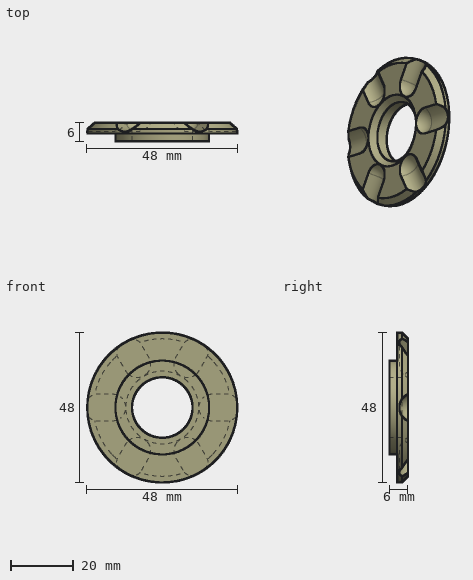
import cadquery as cq

flange_diameter = 48.0
flange_thickness = 3.5
rim_chamfer = 2.0

boss_diameter = 30.0
boss_height = 2.5

bore_diameter = 19.28
bore_chamfer = 2.0

notch_count = 6
notch_radius = 4.66
notch_depth = 2.84
notch_start_radius = 16.0

overshoot = 5.0

flange_radius = flange_diameter / 2
boss_radius = boss_diameter / 2
bore_radius = bore_diameter / 2
back_face = flange_thickness
boss_face = -boss_height


def make_body():
    """Revolve the half section (X is radius) of flange, boss and bore about Y."""
    return (
        cq.Workplane("XY")
        .moveTo(bore_radius, boss_face)
        .lineTo(boss_radius, boss_face)
        .lineTo(boss_radius, 0)
        .lineTo(flange_radius, 0)
        .lineTo(flange_radius, back_face - rim_chamfer)
        .lineTo(flange_radius - rim_chamfer, back_face)
        .lineTo(bore_radius + bore_chamfer, back_face)
        .lineTo(bore_radius, back_face - bore_chamfer)
        .close()
        .revolve(360, (0, 0, 0), (0, 1, 0))
    )


def make_notch_cutter():
    """Ball-ended rod along +X whose lowest line lies notch_depth below the back face."""
    axis_height = back_face - notch_depth + notch_radius
    rod_length = flange_radius + overshoot - notch_start_radius
    ball_center = (notch_start_radius, axis_height, 0)
    rod = (
        cq.Workplane("YZ", origin=ball_center)
        .circle(notch_radius)
        .extrude(rod_length)
    )
    ball = cq.Workplane("XY", origin=ball_center).sphere(notch_radius)
    return rod.union(ball)


def cut_notches(body):
    cutter = make_notch_cutter()
    for index in range(notch_count):
        angle = index * 360 / notch_count
        body = body.cut(cutter.rotate((0, 0, 0), (0, 1, 0), angle))
    return body


result = cut_notches(make_body())